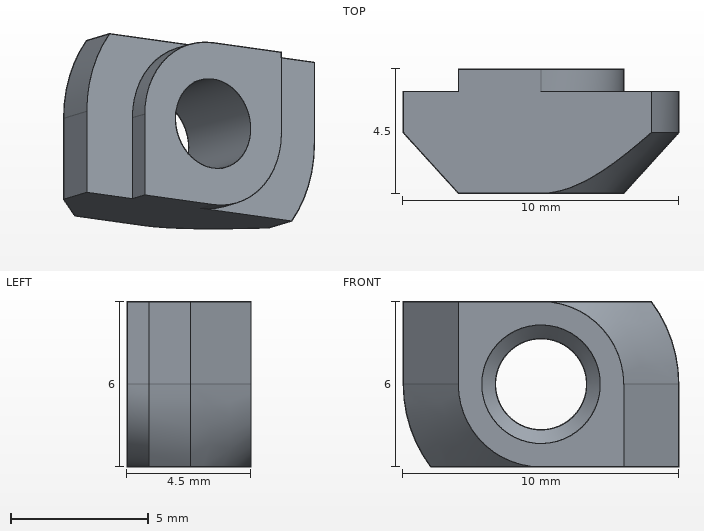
import cadquery as cq

length = 10.0
height = 6.0
boss_depth = 0.8
rim_depth = 1.5
taper_depth = 2.2
hole_diameter = 3.3
countersink_diameter = 4.3
countersink_angle = 90.0

half_length = length / 2
half_height = height / 2
face_half_width = half_height
rim_start = taper_depth
rim_end = rim_start + rim_depth
depth = rim_end + boss_depth


def half_profile():
    """XY outline from the centre line to +X; the front face lies on Y = 0."""
    return cq.Workplane("XY").polyline([
        (0, 0),
        (face_half_width, 0),
        (half_length, rim_start),
        (half_length, rim_end),
        (face_half_width, rim_end),
        (face_half_width, depth),
        (0, depth),
    ]).close()


def square_quarter():
    """Lower +X quarter, with straight sides."""
    return half_profile().extrude(-half_height)


def round_quarter():
    """Upper +X quarter, turned about the Y axis and cut flat on top."""
    turned = half_profile().revolve(360, (0, 0, 0), (0, 1, 0))
    quarter_space = cq.Workplane("XY").box(
        half_length, depth, half_height, centered=False
    )
    return turned.intersect(quarter_space)


right_half = square_quarter().union(round_quarter())
left_half = right_half.rotate((0, 0, 0), (0, 1, 0), 180)
body = right_half.union(left_half)

result = body.faces("<Y").workplane(origin=(0, 0, 0)).cskHole(
    hole_diameter, countersink_diameter, countersink_angle
)